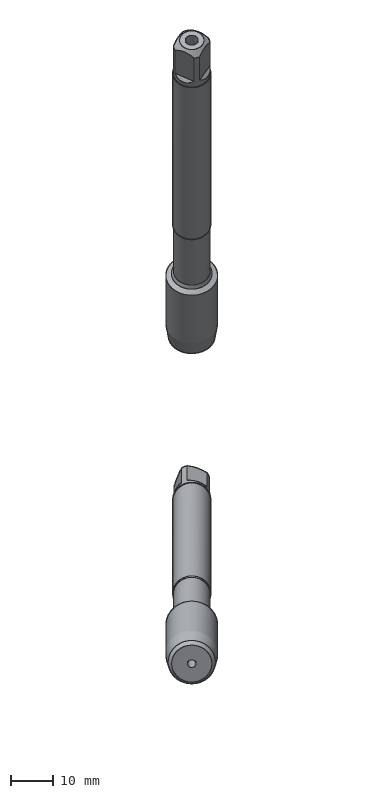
import cadquery as cq

total_length = 110.0

head_diameter = 12.2
head_length = 23.8
shoulder_height = 0.7
lead_length = 5.3
lead_end_diameter = 11.1
tip_bevel_height = 0.9
tip_diameter = 9.5
coolant_diameter = 2.0

shank_diameter = 9.0
neck_diameter = 8.7
flare_diameter = 9.6
flare_height = 1.0
neck_top = 41.5
neck_step_height = 0.4
bore_diameter = 3.0

drive_length = 12.1
drive_corner_diameter = neck_diameter
drive_across_flats = 7.0
flat_bottom = 100.0
drive_end_diameter = 5.7
drive_end_bevel = 1.4


def revolve_profile(stations):
    """Solid of revolution about Z from (diameter, height) stations, bottom to top."""
    outline = [(diameter / 2, height) for diameter, height in stations]
    axis_points = [(0, stations[-1][1]), (0, stations[0][1])]
    return (
        cq.Workplane("XZ")
        .polyline(outline + axis_points)
        .close()
        .revolve(360, (0, 0, 0), (0, 1, 0))
    )


def axial_hole(diameter, bottom, top):
    return cq.Workplane("XY").workplane(offset=bottom).circle(diameter / 2).extrude(top - bottom)


def drive_flat_cutter():
    """Material outside the +X flat, with a 45 degree run-out at its lower end."""
    flat_x = drive_across_flats / 2
    shank_x = shank_diameter / 2
    runout_drop = shank_x - flat_x
    outline = [
        (flat_x, total_length),
        (flat_x, flat_bottom),
        (shank_x, flat_bottom - runout_drop),
        (shank_x, total_length),
    ]
    return cq.Workplane("XZ").polyline(outline).close().extrude(shank_x, both=True)


def make_head():
    body = revolve_profile([
        (tip_diameter, 0),
        (lead_end_diameter, tip_bevel_height),
        (head_diameter, lead_length),
        (head_diameter, head_length - shoulder_height),
        (flare_diameter, head_length),
    ])
    return body.cut(axial_hole(coolant_diameter, 0, head_length))


def make_shank():
    drive_bottom = total_length - drive_length
    body = revolve_profile([
        (flare_diameter, head_length),
        (neck_diameter, head_length + flare_height),
        (neck_diameter, neck_top),
        (shank_diameter, neck_top + neck_step_height),
        (shank_diameter, drive_bottom),
        (drive_corner_diameter, drive_bottom),
        (drive_corner_diameter, total_length - drive_end_bevel),
        (drive_end_diameter, total_length),
    ])
    for angle in (0, 90, 180, 270):
        body = body.cut(drive_flat_cutter().rotate((0, 0, 0), (0, 0, 1), angle))
    return body.cut(axial_hole(bore_diameter, head_length, total_length))


head = make_head()
shank = make_shank()

result = cq.Compound.makeCompound([head.val(), shank.val()])